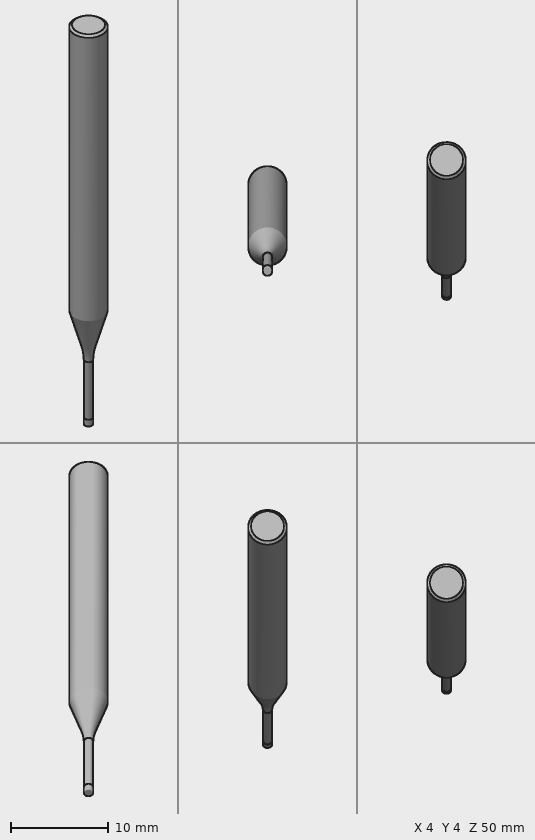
import cadquery as cq
import math

total_length = 50.0
shank_radius = 2.0
shank_bottom_z = 14.3
chamfer_width = 0.3
chamfer_height = 0.25

cone_bottom_z = 9.85
cone_bottom_radius = 0.75
blend_bottom_z = 8.1

neck_radius = 0.475
head_radius = 0.5
head_height = 0.9
head_corner_radius = 0.1

taper_angle = math.atan2(shank_radius - cone_bottom_radius, shank_bottom_z - cone_bottom_z)
blend_radius = (cone_bottom_z - blend_bottom_z) / math.sin(taper_angle)
blend_bottom_radius = cone_bottom_radius - blend_radius * (1 - math.cos(taper_angle))


def make_shank():
    """Chamfered shank, taper, blend and neck, revolved about Z."""
    half_angle = taper_angle / 2
    blend_middle_radius = blend_bottom_radius + blend_radius * (1 - math.cos(half_angle))
    blend_middle_z = blend_bottom_z + blend_radius * math.sin(half_angle)
    return (
        cq.Workplane("XZ")
        .moveTo(0, head_height)
        .lineTo(neck_radius, head_height)
        .lineTo(neck_radius, blend_bottom_z)
        .lineTo(blend_bottom_radius, blend_bottom_z)
        .threePointArc((blend_middle_radius, blend_middle_z), (cone_bottom_radius, cone_bottom_z))
        .lineTo(shank_radius, shank_bottom_z)
        .lineTo(shank_radius, total_length - chamfer_height)
        .lineTo(shank_radius - chamfer_width, total_length)
        .lineTo(0, total_length)
        .close()
        .revolve(360, (0, 0, 0), (0, 1, 0))
    )


def make_cutting_head():
    """Short cylindrical head with a rounded bottom corner."""
    return (
        cq.Workplane("XY")
        .circle(head_radius)
        .extrude(head_height)
        .faces("<Z")
        .edges()
        .fillet(head_corner_radius)
    )


shank = make_shank()
cutting_head = make_cutting_head()

result = cq.Compound.makeCompound([shank.val(), cutting_head.val()])